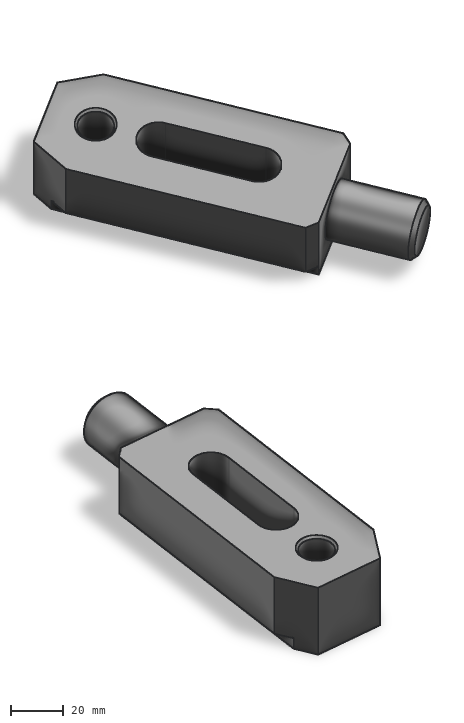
import cadquery as cq
import math

body_length = 115.0
body_width = 48.0
body_height = 32.0

nose_width = 30.0
nose_angle = 30.0
nose_length = (body_width - nose_width) / 2 / math.tan(math.radians(nose_angle))
rear_bevel = 4.0

foot_width = 40.0
foot_height = 5.0

shank_diameter = 24.0
shank_length = 35.0
shank_chamfer = 2.0

hole_x = 20.0
hole_diameter = 14.0
hole_chamfer = 1.0

slot_start = 36.5
slot_length = 57.0
slot_width = 17.0


def make_body():
    half_width = body_width / 2
    half_nose = nose_width / 2
    rear_half_width = half_width - rear_bevel
    return (
        cq.Workplane("XY")
        .moveTo(0, -half_nose)
        .lineTo(nose_length, -half_width)
        .lineTo(body_length - rear_bevel, -half_width)
        .lineTo(body_length, -rear_half_width)
        .lineTo(body_length, rear_half_width)
        .lineTo(body_length - rear_bevel, half_width)
        .lineTo(nose_length, half_width)
        .lineTo(0, half_nose)
        .close()
        .extrude(body_height)
    )


def make_side_step(side):
    """Material removed beside the foot; side is +1 or -1 along Y."""
    step_width = (body_width - foot_width) / 2
    return (
        cq.Workplane("XY")
        .center(body_length / 2, side * (foot_width + step_width) / 2)
        .rect(body_length, step_width)
        .extrude(foot_height)
    )


def make_shank():
    return (
        cq.Workplane("YZ", origin=(body_length, 0, body_height / 2))
        .circle(shank_diameter / 2)
        .extrude(shank_length)
        .faces(">X")
        .chamfer(shank_chamfer)
    )


def make_hole():
    """Revolved cutter: a through bore that widens at its top mouth."""
    radius = hole_diameter / 2
    mouth_radius = radius + hole_chamfer
    return (
        cq.Workplane("XZ", origin=(hole_x, 0, 0))
        .moveTo(0, 0)
        .lineTo(radius, 0)
        .lineTo(radius, body_height - hole_chamfer)
        .lineTo(mouth_radius, body_height)
        .lineTo(0, body_height)
        .close()
        .revolve(360, (0, 0), (0, 1))
    )


def make_slot():
    return (
        cq.Workplane("XY")
        .center(slot_start + slot_length / 2, 0)
        .slot2D(slot_length, slot_width)
        .extrude(body_height)
    )


body = make_body()
for side in (-1, 1):
    body = body.cut(make_side_step(side))
result = body.union(make_shank()).cut(make_hole()).cut(make_slot())